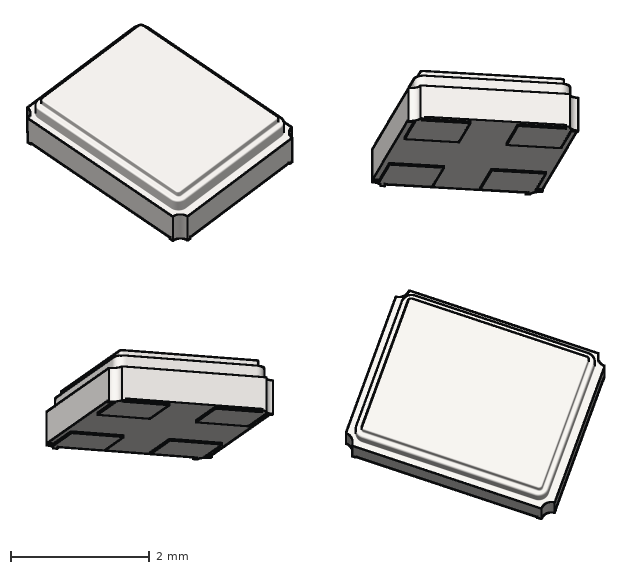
import cadquery as cq

length = 3.2
width = 2.5
height = 0.8

pad_thickness = 0.025
body_top = 0.5
ring_top = 0.7

notch_radius = 0.15
foot_radius = 0.215

ring_margin_x = 0.125
ring_margin_y = 0.1
ring_length = length - 2 * ring_margin_x
ring_width = width - 2 * ring_margin_y
ring_corner = 0.15
ring_top_fillet = 0.03
ring_root_fillet = 0.01

lid_margin = 0.09
lid_length = ring_length - 2 * lid_margin
lid_width = ring_width - 2 * lid_margin
lid_corner = 0.05
lid_top_fillet = 0.02
lid_root_fillet = 0.02

pad_inset = 0.1
pad_end_x = 1.0
pad_end_y = 0.9
pad_length = pad_end_x - pad_inset
pad_width = pad_end_y - pad_inset

body_corners = [(sx * length / 2, sy * width / 2) for sx in (-1, 1) for sy in (-1, 1)]
pad_centres = [
    (sx * (length / 2 - pad_inset - pad_length / 2), sy * (width / 2 - pad_inset - pad_width / 2))
    for sx in (-1, 1)
    for sy in (-1, 1)
]


def block(size_x, size_y, bottom, top):
    """Box centred on the Z axis between two levels."""
    return cq.Workplane("XY", origin=(0, 0, bottom)).rect(size_x, size_y).extrude(top - bottom)


def tier(size_x, size_y, bottom, top, corner, top_fillet):
    """Round-cornered block with a filleted top rim."""
    rounded = block(size_x, size_y, bottom, top).edges("|Z").fillet(corner)
    return rounded.faces(">Z").edges().fillet(top_fillet)


def corner_posts(radius, top):
    """Four round posts centred on the body corners, rising from the seating plane."""
    return cq.Workplane("XY").pushPoints(body_corners).circle(radius).extrude(top)


def fillet_root(solid, size_x, size_y, level, radius):
    """Round the inner edge where a tier of the given size meets the face below it."""
    reach = radius / 2
    low = (-size_x / 2 - reach, -size_y / 2 - reach, level - reach)
    high = (size_x / 2 + reach, size_y / 2 + reach, level + reach)
    root_edges = cq.selectors.BoxSelector(low, high)
    return solid.edges(root_edges).fillet(radius)


def make_base():
    """Notched body on its corner feet and contact pads."""
    body = block(length, width, pad_thickness, body_top)
    feet = corner_posts(foot_radius, pad_thickness).intersect(block(length, width, 0, pad_thickness))
    pads = cq.Workplane("XY").pushPoints(pad_centres).rect(pad_length, pad_width).extrude(pad_thickness)
    return body.union(feet).union(pads).cut(corner_posts(notch_radius, body_top))


ring = tier(ring_length, ring_width, body_top, ring_top, ring_corner, ring_top_fillet)
lid = tier(lid_length, lid_width, ring_top, height, lid_corner, lid_top_fillet)

result = make_base().union(ring).union(lid)
result = fillet_root(result, ring_length, ring_width, body_top, ring_root_fillet)
result = fillet_root(result, lid_length, lid_width, ring_top, lid_root_fillet)